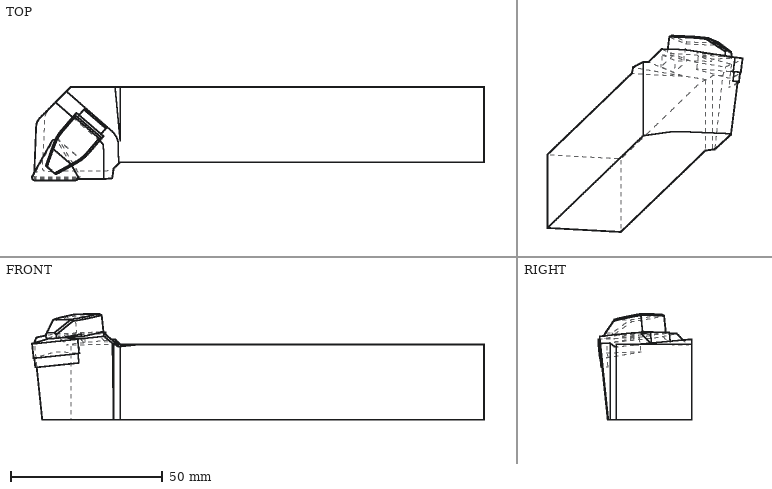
import cadquery as cq
import math

TOTAL_LENGTH = 149.5
SHANK_SIZE = 25.0
SHANK_START = 29.1

INSERT_SIDE = 16.9
INSERT_THICKNESS = 4.8
NOSE_RADIUS = 1.0
SHIM_THICKNESS = 3.1
SHIM_INSET = 0.1
INRADIUS = INSERT_SIDE / (2 * math.sqrt(3))

RAKE_SLOPE = math.tan(math.radians(6.0))
FRONT_OVERHANG = 6.0
CORNER_X = -NOSE_RADIUS * (math.sqrt(3) - 1)
SEAT = cq.Plane(
    origin=(CORNER_X, -FRONT_OVERHANG, SHANK_SIZE),
    xDir=(1, 0, RAKE_SLOPE),
    normal=(-RAKE_SLOPE, -RAKE_SLOPE, 1),
)

FRONT_SETBACK = 0.5
LEFT_FRONT = 1.42
SHOULDER_X = 2.4
SHOULDER_Y = 19.6
FRONT_CORNER_RADIUS = 1.2
SHOULDER_RADIUS = 4.5
WALL_DEPTH = 44.8

HEAD_END_X = 26.5
NECK_X = 27.0
NECK_Y = -2.0
HEAD_TOP = 44.8

STEP_DROP = 4.5
STEP_TAPER = 45.0
REAR_FOOT_X = 12.1
REAR_FOOT_Y = 29.1
REAR_FOOT_ANGLE = 41.5
END_FOOT_X = 29.1
STEP_CORNER_RADIUS = 6.1

CLAMP_TIP_X = 7.3
CLAMP_TIP_Y = 3.7
CLAMP_ANGLE = 49.0
CLAMP_LENGTH = 19.7
CLAMP_WIDTH = 11.8
CLAMP_TIP_WIDTH = 4.5
CLAMP_BEND = 10.5
CLAMP_BEND_RADIUS = 12.7
CLAMP_HEIGHT = 6.1
CLAMP_TIP_HEIGHT = 2.7
CLAMP_RAMP = 6.5
CLAMP_BEVEL = 0.6
TIP_GAP = 0.7
TIP_GAP_LENGTH = 9.0
TAIL_LENGTH = 2.4
TAIL_WIDTH = 9.5
TAIL_DROP = 0.5

FAR = 298.9


def seat(offset=0.0):
    """Workplane parallel to the insert's top face, moved along its normal."""
    return cq.Workplane(SEAT).workplane(offset=offset)


def nearest(frame, x, y, z):
    """Selector for the face or edge whose centre is nearest to a point given in a frame."""
    return cq.NearestToPointSelector(frame.plane.toWorldCoords((x, y, z)).toTuple())


def triangle_plate(top, thickness, inset):
    """Triangular plate with round corners, set in from the insert outline on every side."""
    circumradius = 2 * (INRADIUS - inset)
    corners = [
        (circumradius * math.cos(math.radians(a)), circumradius * math.sin(math.radians(a)))
        for a in (90, 210, 330, 90)
    ]
    outline = cq.Sketch().polygon(corners).vertices().fillet(NOSE_RADIUS)
    return seat(top - thickness).center(INSERT_SIDE / 2, INRADIUS).placeSketch(outline).extrude(thickness)


def make_insert():
    return triangle_plate(0, INSERT_THICKNESS, 0)


def make_shim():
    return triangle_plate(-INSERT_THICKNESS, SHIM_THICKNESS, SHIM_INSET)


def make_shank():
    length = TOTAL_LENGTH - SHANK_START
    bar = cq.Workplane("XY").box(length, SHANK_SIZE, SHANK_SIZE, centered=False)
    return bar.translate((SHANK_START, 0, 0))


def make_head_walls():
    """Tilted prism that gives the head its front, left and 45 degree sides and its top."""
    corners = [
        (LEFT_FRONT, FRONT_SETBACK),
        (FAR, FRONT_SETBACK),
        (FAR, SHOULDER_Y + FAR - SHOULDER_X),
        (SHOULDER_X, SHOULDER_Y),
    ]
    walls = seat(-WALL_DEPTH).polyline(corners).close().extrude(WALL_DEPTH)
    for corner, radius in ((corners[0], FRONT_CORNER_RADIUS), (corners[3], SHOULDER_RADIUS)):
        walls = walls.edges(nearest(seat(), *corner, -WALL_DEPTH / 2)).fillet(radius)
    return walls


def make_head():
    """Upright block with a neck and a 45 degree end slope, trimmed by the tilted walls."""
    block = (
        cq.Workplane("XY")
        .polyline([
            (-FRONT_OVERHANG, SHANK_SIZE),
            (-FRONT_OVERHANG, -2 * FRONT_OVERHANG),
            (HEAD_END_X, -2 * FRONT_OVERHANG),
            (HEAD_END_X, -FRONT_OVERHANG),
            (NECK_X, NECK_Y),
            (SHANK_START, 0),
            (SHANK_START, SHANK_SIZE),
        ])
        .close()
        .extrude(HEAD_TOP)
    )
    slope_run = HEAD_TOP - SHANK_SIZE
    above_end_slope = (
        cq.Workplane("XZ")
        .polyline([
            (SHANK_START, SHANK_SIZE),
            (SHANK_START, HEAD_TOP),
            (SHANK_START - slope_run, HEAD_TOP),
        ])
        .close()
        .extrude(FAR, both=True)
    )
    return block.cut(above_end_slope).intersect(make_head_walls())


def make_step_cutter():
    """All the space above the lower level, except the pad and its slopes."""
    steepness = math.tan(math.radians(REAR_FOOT_ANGLE))
    far_left = -FAR
    corners = [
        (far_left, far_left),
        (END_FOOT_X, far_left),
        (END_FOOT_X, REAR_FOOT_Y - steepness * (END_FOOT_X - REAR_FOOT_X)),
        (far_left, REAR_FOOT_Y + steepness * (REAR_FOOT_X - far_left)),
        (far_left, far_left),
    ]
    foot = cq.Sketch().polygon(corners).vertices().fillet(STEP_CORNER_RADIUS)
    pad = seat(-STEP_DROP).placeSketch(foot).extrude(STEP_DROP, taper=STEP_TAPER)
    return seat(-STEP_DROP).rect(2 * FAR, 2 * FAR).extrude(FAR).cut(pad)


def clamp_frame():
    """Workplane in the insert's top face: origin at the clamp tip, X back along its axis."""
    return seat().center(CLAMP_TIP_X, CLAMP_TIP_Y).transformed(rotate=(0, 0, CLAMP_ANGLE))


def make_clamp_arm(frame):
    """Arm that narrows to the tip, with a ramp at the front and a bevel round its upper rim."""
    half_tip = CLAMP_TIP_WIDTH / 2
    half_width = CLAMP_WIDTH / 2
    arm = (
        frame.polyline([
            (0, -half_tip),
            (CLAMP_BEND, -half_width),
            (CLAMP_LENGTH, -half_width),
            (CLAMP_LENGTH, half_width),
            (CLAMP_BEND, half_width),
            (0, half_tip),
        ])
        .close()
        .extrude(CLAMP_HEIGHT)
    )
    for side in (-half_width, half_width):
        arm = arm.edges(nearest(frame, CLAMP_BEND, side, CLAMP_HEIGHT / 2)).fillet(CLAMP_BEND_RADIUS)

    above_ramp = (
        frame.transformed(rotate=(90, 0, 0))
        .polyline([
            (0, CLAMP_TIP_HEIGHT),
            (CLAMP_RAMP, CLAMP_HEIGHT),
            (0, CLAMP_HEIGHT),
        ])
        .close()
        .extrude(CLAMP_WIDTH, both=True)
    )
    arm = arm.cut(above_ramp)

    ramp_face = nearest(frame, CLAMP_RAMP / 2, 0, (CLAMP_TIP_HEIGHT + CLAMP_HEIGHT) / 2)
    ramp_top = nearest(frame, CLAMP_RAMP, 0, CLAMP_HEIGHT)
    ramp_foot = nearest(frame, 0, 0, CLAMP_TIP_HEIGHT)
    top_face = cq.DirectionMinMaxSelector(SEAT.zDir)
    rim = arm.faces(top_face + ramp_face).edges(-(ramp_top + ramp_foot))
    return rim.chamfer(CLAMP_BEVEL)


def make_clamp():
    """Arm with clearance under its front part, and a low tail behind it that fills the rear slope."""
    frame = clamp_frame()
    gap = frame.rect(2 * TIP_GAP_LENGTH, CLAMP_WIDTH).extrude(TIP_GAP)
    tail = (
        frame.workplane(offset=-STEP_DROP)
        .center(CLAMP_LENGTH, 0)
        .rect(2 * TAIL_LENGTH, TAIL_WIDTH)
        .extrude(STEP_DROP - TAIL_DROP)
    )
    return make_clamp_arm(frame).cut(gap).union(tail)


def make_holder(insert):
    """Shank, head, shim and clamp as one body with a pocket for the insert."""
    body = make_shank().union(make_head()).cut(make_step_cutter())
    ground = cq.Workplane("XY").rect(2 * FAR, 2 * FAR).extrude(FAR)
    return body.union(make_shim()).union(make_clamp()).intersect(ground).cut(insert)


insert = make_insert()
holder = make_holder(insert)
result = cq.Compound.makeCompound([holder.val(), insert.val()])